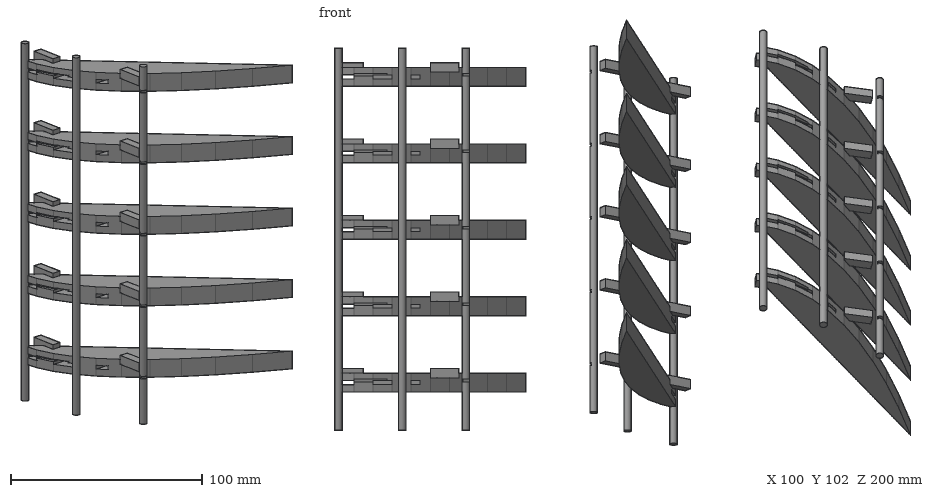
import cadquery as cq

FRAME_HEIGHT = 200.0
LEVEL_COUNT = 5
LEVEL_PITCH = FRAME_HEIGHT / LEVEL_COUNT
FIRST_LEVEL_Z = 20.0

BLADE_SPAN = 100.0
BLADE_THICKNESS = 10.0
FACET_COUNT = 10
FACET_WIDTH = BLADE_SPAN / FACET_COUNT

ROD_RADIUS = 2.0
ROD_PITCH = BLADE_SPAN / 3

BAR_LENGTH = 15.0
BAR_WIDTH = 5.0
BAR_HEIGHT = 5.0
BAR_CORNERS = [(0, 8.0), (BLADE_SPAN / 2, 24.0)]

SLOT_HEIGHT = 2.0
SLOT_DEPTH = 10.0
SHORT_SLOT_LENGTH = 4.5
SLOTS = [(0, FACET_WIDTH), (2, FACET_WIDTH), (4, SHORT_SLOT_LENGTH)]

RECESS_Z = 5.5
RECESS_HEIGHT = 1.5
RECESS_START_X = FACET_WIDTH
RECESS_END_X = 27.5
RECESS_DEPTH = 1.5
NOTCH_ANGLE = 28.0
NOTCH_OFFSET = 0.5

LEVELS = [FIRST_LEVEL_Z + i * LEVEL_PITCH for i in range(LEVEL_COUNT)]


def blade_edge_y(x):
    return x**2 / BLADE_SPAN


def rod_center(index):
    x = ROD_RADIUS + index * ROD_PITCH
    return x, x**2 / (2 * BLADE_SPAN)


def make_rod(index):
    return cq.Workplane("XY").center(*rod_center(index)).circle(ROD_RADIUS).extrude(FRAME_HEIGHT)


def corner_box(length, width, height, corner):
    """Box grown towards +X, +Y and +Z from its lowest corner."""
    return cq.Workplane("XY").box(length, width, height, centered=False).translate(corner)


def blade_slots(level_z):
    slot_z = level_z + (BLADE_THICKNESS - SLOT_HEIGHT) / 2
    slots = cq.Workplane("XY")
    for facet, length in SLOTS:
        x = facet * FACET_WIDTH
        slots = slots.add(corner_box(length, SLOT_DEPTH, SLOT_HEIGHT, (x, blade_edge_y(x), slot_z)))
    return slots.combine()


def edge_recess(level_z):
    """Straight-walled recess whose back runs parallel to the blade edge between its ends."""
    start_y = blade_edge_y(RECESS_START_X)
    end_y = blade_edge_y(RECESS_END_X)
    outline = [
        (RECESS_START_X, 0),
        (RECESS_END_X, 0),
        (RECESS_END_X, end_y + RECESS_DEPTH),
        (RECESS_START_X, start_y + RECESS_DEPTH),
    ]
    plane = cq.Workplane("XY").workplane(offset=level_z + RECESS_Z)
    return plane.polyline(outline).close().extrude(RECESS_HEIGHT)


def make_blade(level_z):
    edge_x = [i * FACET_WIDTH for i in range(FACET_COUNT + 1)]
    outline = [(x, blade_edge_y(x)) for x in edge_x]
    plane = cq.Workplane("XY").workplane(offset=level_z)
    blade = plane.polyline(outline).close().extrude(BLADE_THICKNESS)
    bar_z = level_z + BLADE_THICKNESS - BAR_HEIGHT / 2
    for x, y in BAR_CORNERS:
        blade = blade.union(corner_box(BAR_LENGTH, BAR_WIDTH, BAR_HEIGHT, (x, y, bar_z)))
    return blade.cut(blade_slots(level_z)).cut(edge_recess(level_z))


def make_frame():
    """First rod with all the blades fixed to it."""
    frame = make_rod(0)
    for level_z in LEVELS:
        frame = frame.union(make_blade(level_z))
    return frame


def make_notched_rod():
    """End rod with a flat-backed notch on its outer side at every level."""
    rod = make_rod(2)
    x, y = rod_center(2)
    size = 2 * ROD_RADIUS
    for level_z in LEVELS:
        corner = (-size, -size - NOTCH_OFFSET, 0)
        notch = corner_box(2 * size, size, RECESS_HEIGHT, corner)
        notch = notch.rotate((0, 0, 0), (0, 0, 1), NOTCH_ANGLE)
        rod = rod.cut(notch.translate((x, y, level_z + RECESS_Z)))
    return rod


frame = make_frame()
middle_rod = make_rod(1)
end_rod = make_notched_rod()

result = cq.Compound.makeCompound([frame.val(), middle_rod.val(), end_rod.val()])